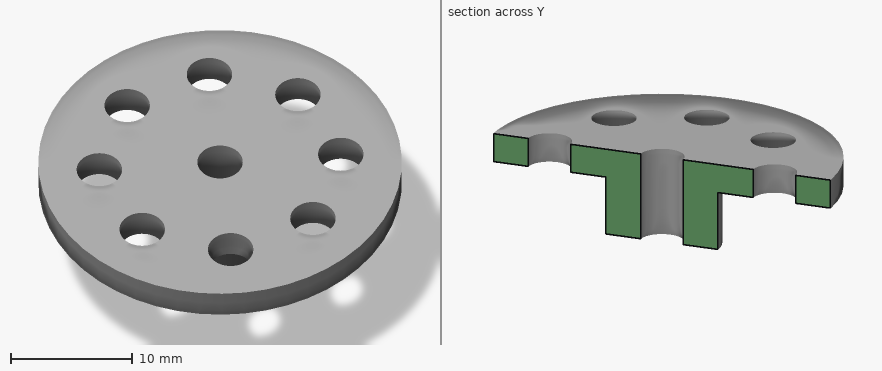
import cadquery as cq

disc_diameter = 30.0
disc_thickness = 2.5
hub_diameter = 10.0
hub_length = 5.0
hole_diameter = 3.75
bolt_circle_radius = 10.0
bolt_hole_count = 8


def make_flanged_hub():
    """Hub standing on Z = 0 with the flat disc on top of it."""
    hub = cq.Workplane("XY").circle(hub_diameter / 2).extrude(hub_length)
    disc = (
        cq.Workplane("XY", origin=(0, 0, hub_length))
        .circle(disc_diameter / 2)
        .extrude(disc_thickness)
    )
    return hub.union(disc)


def cut_center_bore(body):
    """Bore running through the disc and the full length of the hub."""
    return body.faces(">Z").workplane(origin=(0, 0, 0)).hole(hole_diameter)


def cut_bolt_holes(body):
    """Ring of equally spaced through holes, the first one on the +X axis."""
    return (
        body.faces(">Z")
        .workplane(origin=(0, 0, 0))
        .polarArray(bolt_circle_radius, 0, 360, bolt_hole_count)
        .hole(hole_diameter)
    )


result = cut_bolt_holes(cut_center_bore(make_flanged_hub()))